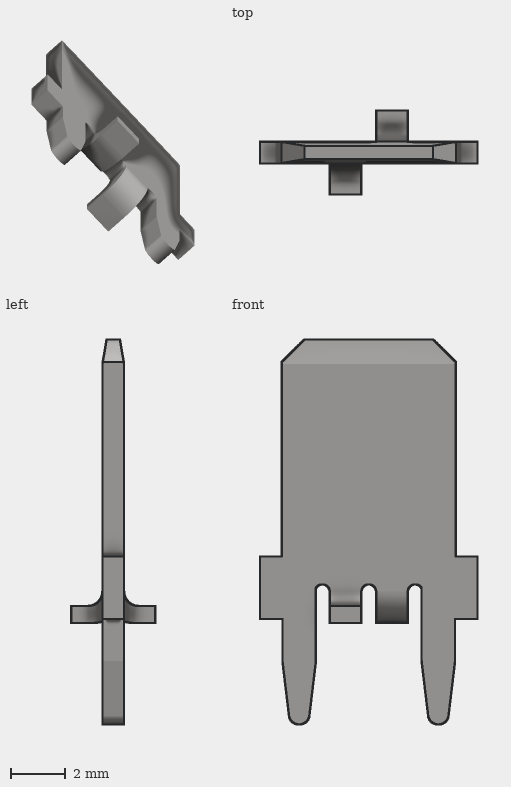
import cadquery as cq
import math


thickness = 0.8
half_thickness = thickness / 2
total_length = 14.02
total_depth = 3.07

blade_width = 6.35
corner_width = 0.83
corner_height = 0.82
tip_thickness = 0.49
tip_taper_height = 0.9

shoulder_width = 7.92
shoulder_height = 2.28

leg_length = 3.84
leg_outer_x = 3.145
leg_inner_x = 1.92
leg_taper_length = 2.3
leg_end_half_width = 0.37
leg_end_round_height = 0.28

slot_radius = 0.265
slot_top_z = 1.26
tongue_width = 1.16
tongue_thickness = 0.63
bend_inner_radius = 0.51

blade_top_z = total_length - leg_length
leg_bottom_z = -leg_length
leg_centre_x = (leg_outer_x + leg_inner_x) / 2
slot_centre_z = slot_top_z - slot_radius
tongue_inner_x = slot_radius
tongue_outer_x = tongue_inner_x + tongue_width
outer_slot_x = tongue_outer_x + slot_radius
bend_outer_radius = bend_inner_radius + tongue_thickness
bend_start_z = slot_centre_z
tongue_bottom_z = bend_start_z - bend_outer_radius


def extrude_sheet(outline):
    """Extrude an XZ outline to the sheet thickness, centred on Y = 0."""
    return outline.close().extrude(half_thickness, both=True)


def make_blade():
    half_width = blade_width / 2
    half_top = half_width - corner_width
    corner_z = blade_top_z - corner_height
    outline = (
        cq.Workplane("XZ")
        .moveTo(-half_width, 0)
        .lineTo(half_width, 0)
        .lineTo(half_width, corner_z)
        .lineTo(half_top, blade_top_z)
        .lineTo(-half_top, blade_top_z)
        .lineTo(-half_width, corner_z)
    )
    return extrude_sheet(outline)


def make_tip_taper(side):
    """Wedge removed from one face of the blade (side is -1 or +1 along Y)."""
    return (
        cq.Workplane("YZ")
        .moveTo(side * half_thickness, blade_top_z - tip_taper_height)
        .lineTo(side * half_thickness, blade_top_z)
        .lineTo(side * tip_thickness / 2, blade_top_z)
        .close()
        .extrude(blade_width / 2, both=True)
    )


def make_shoulders():
    return cq.Workplane("XY").box(
        shoulder_width, thickness, shoulder_height, centered=(True, True, False)
    )


def make_leg(side):
    """Tapered leg with a rounded end (side is -1 or +1 along X)."""
    taper_z = leg_bottom_z + leg_taper_length
    round_z = leg_bottom_z + leg_end_round_height
    outline = (
        cq.Workplane("XZ")
        .moveTo(side * leg_outer_x, 0)
        .lineTo(side * leg_outer_x, taper_z)
        .lineTo(side * (leg_centre_x + leg_end_half_width), round_z)
        .threePointArc(
            (side * leg_centre_x, leg_bottom_z),
            (side * (leg_centre_x - leg_end_half_width), round_z),
        )
        .lineTo(side * leg_inner_x, taper_z)
        .lineTo(side * leg_inner_x, 0)
    )
    return extrude_sheet(outline)


def make_leg_gap():
    """Opening between the legs, up to the level where the tongues bend."""
    return cq.Workplane("XY").box(
        2 * leg_inner_x, thickness, bend_start_z, centered=(True, True, False)
    )


def make_slot_top(centre_x):
    """Round top of a relief slot, kept between the inner edges of the legs."""
    round_top = (
        cq.Workplane("XZ")
        .center(centre_x, slot_centre_z)
        .circle(slot_radius)
        .extrude(half_thickness, both=True)
    )
    between_legs = cq.Workplane("XY").box(2 * leg_inner_x, thickness, 2 * slot_top_z)
    return round_top.intersect(between_legs)


def make_tongue(side):
    """Tongue bent out of the sheet toward side * Y, on the same side of X = 0."""
    cos_45 = math.cos(math.pi / 4)
    bend_y = half_thickness + bend_inner_radius
    outer_bend_y = bend_outer_radius - half_thickness
    tongue_end_y = total_depth / 2
    tongue_top_z = bend_start_z - bend_inner_radius
    inner_reach = bend_inner_radius * cos_45
    outer_reach = bend_outer_radius * cos_45
    profile = (
        cq.Workplane("YZ", origin=(side * tongue_inner_x, 0, 0))
        .moveTo(side * half_thickness, bend_start_z)
        .threePointArc(
            (side * (bend_y - inner_reach), bend_start_z - inner_reach),
            (side * bend_y, tongue_top_z),
        )
        .lineTo(side * tongue_end_y, tongue_top_z)
        .lineTo(side * tongue_end_y, tongue_bottom_z)
        .lineTo(side * outer_bend_y, tongue_bottom_z)
        .threePointArc(
            (side * (outer_bend_y - outer_reach), bend_start_z - outer_reach),
            (-side * half_thickness, bend_start_z),
        )
        .close()
    )
    return profile.extrude(side * tongue_width)


result = make_blade().union(make_shoulders())
for side in (-1, 1):
    result = result.cut(make_tip_taper(side)).union(make_leg(side))

result = result.cut(make_leg_gap())
for slot_x in (-outer_slot_x, 0, outer_slot_x):
    result = result.cut(make_slot_top(slot_x))

for side in (-1, 1):
    result = result.union(make_tongue(side))